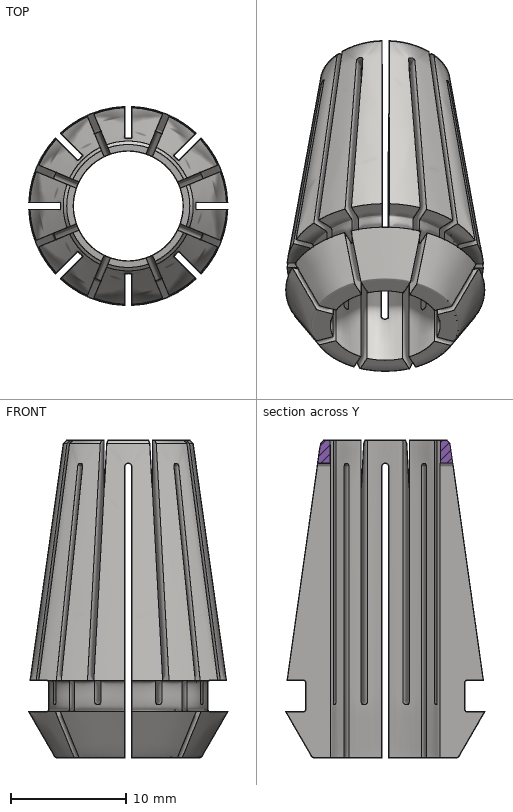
import cadquery as cq
import math

total_height = 27.5
bore_diameter = 9.5

head_rim_radius = 8.625
head_height = 3.99
head_half_angle = 30.0
edge_fillet = 0.2

neck_radius = 6.9
neck_top = 6.7

cone_base_radius = 8.51
cone_half_angle = 8.0
nose_chamfer = 0.3

slots_per_end = 8
slot_width = 0.6
base_slot_end = 25.5
nose_slot_end = 4.6


def collet_body():
    """Revolve the outer profile together with the bore wall."""
    bore_radius = bore_diameter / 2
    head_angle = math.radians(head_half_angle)
    base_radius = head_rim_radius - head_height * math.tan(head_angle)
    fillet_reach = edge_fillet * math.tan((math.pi / 2 - head_angle) / 2)
    fillet_end = (
        base_radius + fillet_reach * math.sin(head_angle),
        fillet_reach * math.cos(head_angle),
    )
    cone_slope = math.tan(math.radians(cone_half_angle))
    chamfer_start = total_height - nose_chamfer
    chamfer_radius = cone_base_radius - (chamfer_start - neck_top) * cone_slope

    profile = (
        cq.Workplane("XZ")
        .moveTo(bore_radius, 0)
        .lineTo(base_radius - fillet_reach, 0)
        .radiusArc(fillet_end, -edge_fillet)
        .lineTo(head_rim_radius, head_height)
        .lineTo(neck_radius + edge_fillet, head_height)
        .radiusArc((neck_radius, head_height + edge_fillet), edge_fillet)
        .lineTo(neck_radius, neck_top - edge_fillet)
        .radiusArc((neck_radius + edge_fillet, neck_top), edge_fillet)
        .lineTo(cone_base_radius, neck_top)
        .lineTo(chamfer_radius, chamfer_start)
        .lineTo(chamfer_radius - nose_chamfer, total_height)
        .lineTo(bore_radius, total_height)
        .close()
    )
    return profile.revolve(360, (0, 0, 0), (0, 1, 0))


def slot_cutter(open_z, end_z, angle):
    """Radial blade reaching from the axis outward, with a full round at end_z."""
    half_width = slot_width / 2
    toward_open = math.copysign(half_width, open_z - end_z)
    round_z = end_z + toward_open
    blade = (
        cq.Workplane("YZ")
        .moveTo(-half_width, open_z)
        .lineTo(-half_width, round_z)
        .threePointArc((0, end_z), (half_width, round_z))
        .lineTo(half_width, open_z)
        .close()
        .extrude(2 * head_rim_radius)
    )
    return blade.rotate((0, 0, 0), (0, 0, 1), angle)


def cut_slots(body):
    """Cut the base slots, and the nose slots halfway between them."""
    overrun = slot_width
    pitch = 360 / slots_per_end
    for index in range(slots_per_end):
        angle = index * pitch
        body = body.cut(slot_cutter(-overrun, base_slot_end, angle))
        body = body.cut(slot_cutter(total_height + overrun, nose_slot_end, angle + pitch / 2))
    return body


result = cut_slots(collet_body())